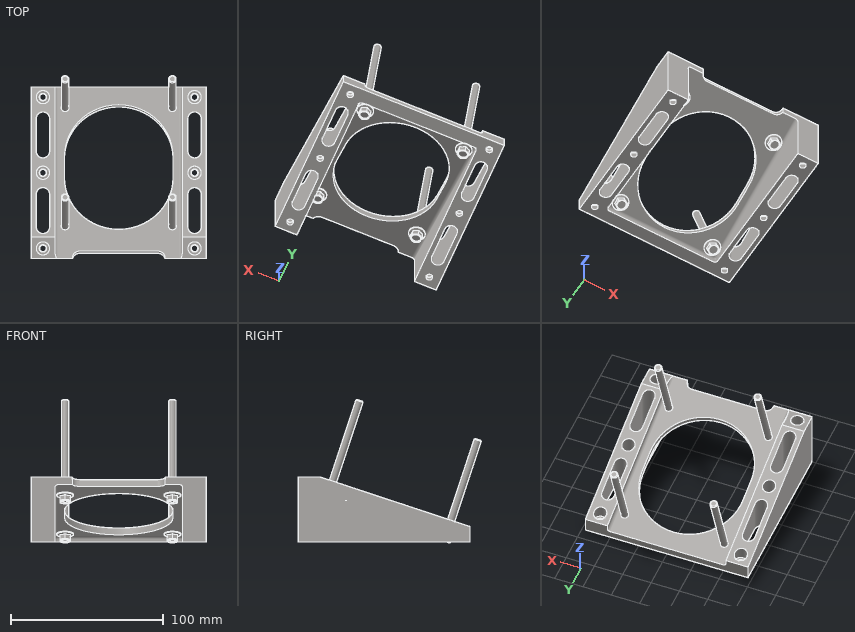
import cadquery as cq
import math

base_width = 115.0
base_length = 112.7
base_height = 42.8
flat_length = 14.2
slope_angle = 18.3
slope_sin = math.sin(math.radians(slope_angle))
slope_cos = math.cos(math.radians(slope_angle))
slope_tan = slope_sin / slope_cos
back_height = base_height - (base_length - flat_length) * slope_tan

channel_width = 83.7
plate_thickness = 4.8
rail_rise = 4.5
corner_radius = 2.0
back_wall = 9.0

plate_center_y = 60.1
opening_width = 71.0
opening_length = 85.9
notch_width = 61.0
notch_depth = 5.3
notch_radius = 5.0

rail_center_x = (base_width + channel_width) / 4
rail_hole_pitch = 49.5
counterbore_diameter = 8.6
counterbore_floor_z = 5.0
hole_rim_diameter = 4.9
hole_diameter = 4.2
slot_length = 30.0

bolt_spacing_x = 70.3
bolt_spacing_slope = 81.6
bolt_clearance = 5.2
shank_diameter = 5.0
shank_length = 65.1
shank_tip_diameter = 3.8
shank_tip_length = 0.6
flange_diameter = 11.0
flange_rim = 0.6
flange_height = 1.4
head_height = 5.2
hex_across_flats = 7.0
head_end_diameter = 6.8
head_end_angle = 30
head_recess_diameter = 6.2
head_recess_depth = 1.0

plate_center_z = base_height - (plate_center_y - flat_length) * slope_tan - rail_rise / slope_cos
SLOPE = cq.Plane(
    origin=(0, plate_center_y, plate_center_z),
    xDir=(1, 0, 0),
    normal=(0, slope_sin, slope_cos),
)
cut_length = 2 * base_length
cut_half_depth = 2 * plate_thickness


def extruded_across(points, width):
    """Y-Z outline extruded to a width that is centred on X = 0."""
    return cq.Workplane("YZ").polyline(points).close().extrude(width / 2, both=True)


def revolved(profile):
    """Solid of revolution about Z from a closed radius-height profile."""
    return cq.Workplane("XZ").polyline(profile).close().revolve(360, (0, 0), (0, 1))


def wedge():
    outline = [
        (0, 0),
        (base_length, 0),
        (base_length, back_height),
        (flat_length, base_height),
        (0, base_height),
    ]
    return extruded_across(outline, base_width)


def upper_channel():
    """Channel above the plate, between the rails, with rounded lower corners."""
    cutter = cq.Workplane(SLOPE).box(
        channel_width, cut_length, base_height, centered=(True, True, False)
    )
    floor = cutter.faces(cq.selectors.DirectionMinMaxSelector(SLOPE.zDir, False))
    return floor.edges(cq.selectors.ParallelDirSelector(SLOPE.yDir)).fillet(corner_radius)


def lower_pocket():
    """Pocket under the plate, open at the front and bottom, with a vertical back wall."""
    wall_y = base_length - back_wall
    front_y = -base_length

    def underside_z(y):
        return plate_center_z - (y - plate_center_y) * slope_tan - plate_thickness / slope_cos

    outline = [
        (front_y, -base_height),
        (wall_y, -base_height),
        (wall_y, underside_z(wall_y)),
        (front_y, underside_z(front_y)),
    ]
    cutter = extruded_across(outline, channel_width)
    ceiling_sides = cq.selectors.ParallelDirSelector(SLOPE.yDir)
    wall_rim = cutter.faces(">Y").edges("not <Z")
    return wall_rim.add(cutter.edges(ceiling_sides)).fillet(corner_radius)


def plate_opening():
    opening = cq.Workplane(SLOPE).slot2D(opening_length, opening_width, 90)
    return opening.extrude(cut_half_depth, both=True)


def front_notch():
    """Notch in the plate's front edge, square to the plate, with rounded inner corners."""
    front_edge = -plate_center_y / slope_cos
    overrun = 2 * notch_depth
    return (
        cq.Workplane(SLOPE)
        .center(0, front_edge + (notch_depth - overrun) / 2)
        .rect(notch_width, notch_depth + overrun)
        .extrude(cut_half_depth, both=True)
        .edges(cq.selectors.ParallelDirSelector(SLOPE.zDir))
        .fillet(notch_radius)
    )


def rail_hole():
    """Counterbored hole with a small countersink at the counterbore floor."""
    rim = (hole_rim_diameter - hole_diameter) / 2
    return revolved([
        (0, 0),
        (hole_diameter / 2, 0),
        (hole_diameter / 2, counterbore_floor_z - rim),
        (hole_rim_diameter / 2, counterbore_floor_z),
        (counterbore_diameter / 2, counterbore_floor_z),
        (counterbore_diameter / 2, base_height),
        (0, base_height),
    ])


def rail_slot():
    return cq.Workplane("XY").slot2D(slot_length, counterbore_diameter, 90).extrude(base_height)


def bolt_clearance_holes():
    corners = cq.Workplane(SLOPE).rect(bolt_spacing_x, bolt_spacing_slope, forConstruction=True)
    return corners.vertices().circle(bolt_clearance / 2).extrude(cut_half_depth, both=True)


def flange_spot_faces():
    """Shallow round clearance in the pocket's corner fillets where the bolt flanges sit."""
    underside = cq.Workplane(SLOPE).workplane(offset=-plate_thickness)
    corners = underside.rect(bolt_spacing_x, bolt_spacing_slope, forConstruction=True)
    return corners.vertices().circle(flange_diameter / 2).extrude(-flange_height)


def make_base():
    base = wedge()
    cutters = [
        upper_channel(),
        lower_pocket(),
        plate_opening(),
        front_notch(),
        bolt_clearance_holes(),
        flange_spot_faces(),
    ]
    for cutter in cutters:
        base = base.cut(cutter)
    for x in (-rail_center_x, rail_center_x):
        for step in (-1, 0, 1):
            base = base.cut(rail_hole().translate((x, base_length / 2 + step * rail_hole_pitch, 0)))
        for step in (-0.5, 0.5):
            base = base.cut(rail_slot().translate((x, base_length / 2 + step * rail_hole_pitch, 0)))
    return base


def make_bolt():
    """Flanged hex bolt along Z, with its flange seat at Z = 0 and the head below."""
    tip_inset = (shank_diameter - shank_tip_diameter) / 2
    shank = cq.Workplane("XY").circle(shank_diameter / 2).extrude(shank_length)
    shank = shank.faces(">Z").chamfer(shank_tip_length, tip_inset)

    flange = revolved([
        (0, 0),
        (flange_diameter / 2, 0),
        (flange_diameter / 2, -flange_rim),
        (hex_across_flats / 2, -flange_height),
        (0, -flange_height),
    ])

    hexagon = cq.Workplane("XY").polygon(6, hex_across_flats, circumscribed=True).extrude(-head_height)
    end_radius = head_end_diameter / 2
    cone_height = (flange_diameter / 2 - end_radius) * math.tan(math.radians(head_end_angle))
    corner_trim = revolved([
        (0, 0),
        (flange_diameter / 2, 0),
        (flange_diameter / 2, cone_height - head_height),
        (end_radius, -head_height),
        (0, -head_height),
    ])
    recess = (
        cq.Workplane("XY", origin=(0, 0, -head_height))
        .circle(head_recess_diameter / 2)
        .extrude(head_recess_depth)
    )
    return shank.union(flange).union(hexagon.intersect(corner_trim)).cut(recess)


base = make_base()
bolts = []
for x in (-bolt_spacing_x / 2, bolt_spacing_x / 2):
    for y in (-bolt_spacing_slope / 2, bolt_spacing_slope / 2):
        seat = SLOPE.toWorldCoords((x, y, -plate_thickness))
        bolt_frame = cq.Plane(origin=seat, xDir=SLOPE.xDir, normal=SLOPE.zDir)
        bolts.append(make_bolt().solids().val().moved(cq.Location(bolt_frame)))

result = cq.Compound.makeCompound([base.solids().val(), *bolts])